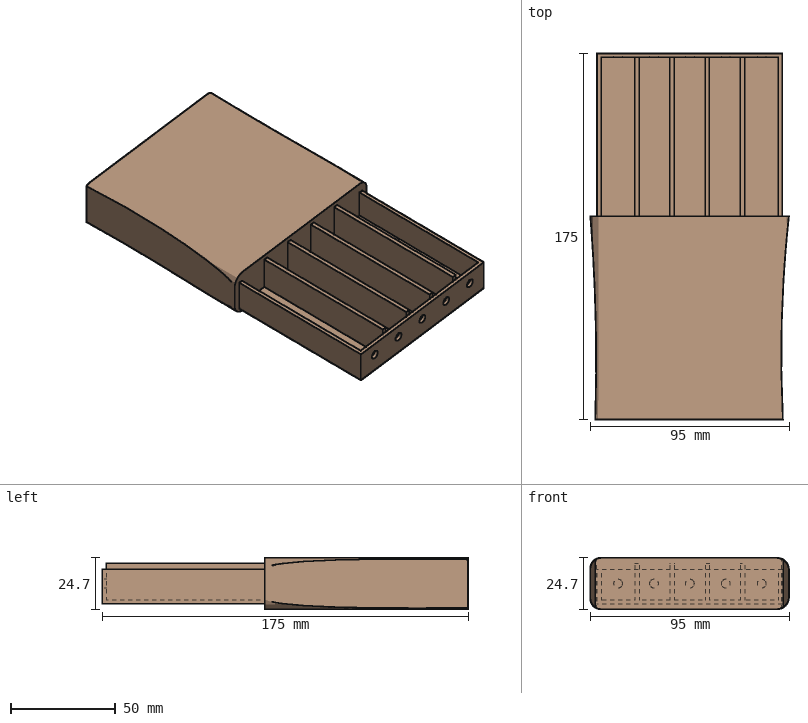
import cadquery as cq

total_length = 175.0
body_length = 97.3
body_height = 24.7
mouth_width = 95.0
mouth_half_width = mouth_width / 2
left_corner_radius = 5.2
right_corner_radius = 6.0
middle_y = body_length / 2
left_middle_half_width = 45.0
left_front_half_width = 45.2
right_middle_half_width = 44.1
right_front_half_width = 44.6

tray_width = 88.5
tray_height = 16.6
tray_length = total_length - body_length
tray_bottom = 2.6
wall = 2.0
floor_thickness = wall
divider_count = 4
divider_pitch = 16.8
divider_thickness = 2.1
divider_rise = 2.8

hole_diameter = 4.2
hole_pitch = 17.2
hole_height = 9.8


def make_body():
    """Round-cornered bar with its left and right sides trimmed to shallow arcs."""
    bar = (
        cq.Workplane("XY")
        .box(mouth_width, body_length, body_height, centered=(True, False, False))
        .edges("|Y and <X")
        .fillet(left_corner_radius)
        .edges("|Y and >X")
        .fillet(right_corner_radius)
    )
    plan = (
        cq.Workplane("XY")
        .moveTo(-left_front_half_width, 0)
        .lineTo(right_front_half_width, 0)
        .threePointArc((right_middle_half_width, middle_y), (mouth_half_width, body_length))
        .lineTo(-mouth_half_width, body_length)
        .threePointArc((-left_middle_half_width, middle_y), (-left_front_half_width, 0))
        .close()
        .extrude(body_height)
    )
    return bar.intersect(plan)


def make_tray():
    """Open-topped box with lengthwise dividers and rear holes."""
    inner_length = tray_length - wall
    start = cq.Workplane("XY").workplane(offset=tray_bottom).center(0, body_length)
    tray = start.box(tray_width, tray_length, tray_height, centered=(True, False, False))
    pocket = (
        start.workplane(offset=floor_thickness)
        .box(tray_width - 2 * wall, inner_length, tray_height, centered=(True, False, False))
    )
    tray = tray.cut(pocket)

    divider_height = tray_height + divider_rise
    for index in range(divider_count):
        x = (index - (divider_count - 1) / 2) * divider_pitch
        divider = start.center(x, 0).box(
            divider_thickness, inner_length, divider_height, centered=(True, False, False)
        )
        tray = tray.union(divider)

    for index in range(divider_count + 1):
        x = (index - divider_count / 2) * hole_pitch
        hole = cq.Solid.makeCylinder(
            hole_diameter / 2,
            wall,
            cq.Vector(x, total_length - wall, tray_bottom + hole_height),
            cq.Vector(0, 1, 0),
        )
        tray = tray.cut(cq.Workplane(obj=hole))
    return tray


result = make_body().union(make_tray())